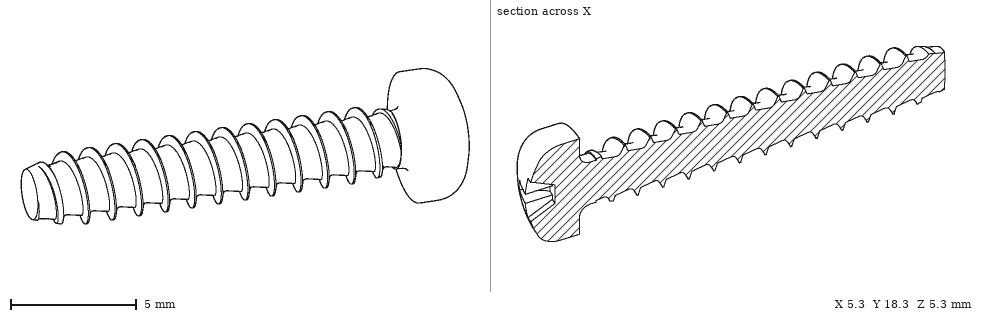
import cadquery as cq
import math


HEAD_RADIUS = 2.65
HEAD_RIM_HEIGHT = 0.83
HEAD_EDGE_FILLET = 0.05
SHOULDER_RADIUS = 2.1
SHOULDER_HEIGHT = 1.79
CROWN_HEIGHT = 2.29

WING_WIDTH = 0.5
WING_TOP_RADIUS = 1.15
WING_BOTTOM_RADIUS = 0.5
RECESS_DEPTH = 1.2

SHANK_LENGTH = 16.0
NECK_RADIUS = 1.17
NECK_FILLET = 0.5
THREAD_START = 0.71
TIP_RADIUS = 1.02
TIP_POINT_HEIGHT = 0.03

PITCH = 1.12
MAJOR_RADIUS = 1.5
FIRST_CREST = 0.57
RUN_IN_RADIUS = 1.23
RUN_IN_END = 1.95
RUN_OUT_START = 14.35
CREST_WIDTH = 0.05
ROOT_MAX_RADIUS = 1.14
ROOT_MIN_RADIUS = 1.03
TIP_FLANK_RUN = 0.14
HEAD_FLANK_RUN = 0.19
BLEND_RUN = 0.40
CUTTER_OVERSIZE = 0.02


def head_and_neck():
    """Head, under-head fillet and plain neck as one turned body."""
    crown_rise = CROWN_HEIGHT - SHOULDER_HEIGHT
    crown_radius = (SHOULDER_RADIUS**2 + crown_rise**2) / (2 * crown_rise)
    crown_mid_radius = SHOULDER_RADIUS / 2
    crown_mid_drop = crown_radius - math.sqrt(crown_radius**2 - crown_mid_radius**2)
    profile = (
        cq.Workplane("XZ")
        .moveTo(0, THREAD_START)
        .lineTo(NECK_RADIUS, THREAD_START)
        .lineTo(NECK_RADIUS, NECK_FILLET)
        .tangentArcPoint((NECK_RADIUS + NECK_FILLET, 0), relative=False)
        .lineTo(HEAD_RADIUS - HEAD_EDGE_FILLET, 0)
        .tangentArcPoint((HEAD_RADIUS, -HEAD_EDGE_FILLET), relative=False)
        .lineTo(HEAD_RADIUS, -HEAD_RIM_HEIGHT)
        .tangentArcPoint((SHOULDER_RADIUS, -SHOULDER_HEIGHT), relative=False)
        .threePointArc((crown_mid_radius, crown_mid_drop - CROWN_HEIGHT), (0, -CROWN_HEIGHT))
        .close()
    )
    return profile.revolve(360, (0, 0, 0), (0, 1, 0))


def cross_recess():
    """Two crossed wings that narrow towards the bottom of the recess."""
    bottom = RECESS_DEPTH - CROWN_HEIGHT
    wing = (
        cq.Workplane("XZ")
        .polyline([
            (-WING_TOP_RADIUS, -CROWN_HEIGHT),
            (WING_TOP_RADIUS, -CROWN_HEIGHT),
            (WING_BOTTOM_RADIUS, bottom),
            (-WING_BOTTOM_RADIUS, bottom),
        ])
        .close()
        .extrude(WING_WIDTH / 2, both=True)
    )
    return wing.union(wing.rotate((0, 0, 0), (0, 0, 1), 90))


def thread_envelope():
    """Envelope of the thread crests, from the run-in cone to the tip."""
    return (
        cq.Workplane("XZ")
        .polyline([
            (0, THREAD_START),
            (RUN_IN_RADIUS, THREAD_START),
            (MAJOR_RADIUS, RUN_IN_END),
            (MAJOR_RADIUS, RUN_OUT_START),
            (TIP_RADIUS, SHANK_LENGTH - TIP_POINT_HEIGHT),
            (0, SHANK_LENGTH),
        ])
        .close()
        .revolve(360, (0, 0, 0), (0, 1, 0))
    )


def thread_groove():
    """Helical groove between two neighbouring crests, swept along the threaded shank."""
    start = FIRST_CREST - PITCH
    turns = math.ceil((SHANK_LENGTH - start) / PITCH) + 1
    half_crest = CREST_WIDTH / 2
    outer_radius = MAJOR_RADIUS + CUTTER_OVERSIZE
    profile = (
        cq.Workplane("XZ")
        .moveTo(outer_radius, half_crest)
        .lineTo(ROOT_MAX_RADIUS, TIP_FLANK_RUN)
        .lineTo(ROOT_MIN_RADIUS, PITCH - BLEND_RUN)
        .tangentArcPoint((ROOT_MAX_RADIUS, PITCH - HEAD_FLANK_RUN), relative=False)
        .lineTo(outer_radius, PITCH - half_crest)
        .close()
    )
    helix = cq.Workplane(cq.Wire.makeHelix(PITCH, turns * PITCH, MAJOR_RADIUS))
    return profile.sweep(helix, isFrenet=True).translate((0, 0, start))


def threaded_shank():
    """Grooved bar trimmed to the crest envelope."""
    bar = (
        cq.Workplane("XY", origin=(0, 0, THREAD_START))
        .circle(MAJOR_RADIUS)
        .extrude(SHANK_LENGTH - THREAD_START)
    )
    return bar.cut(thread_groove()).intersect(thread_envelope())


head = head_and_neck().cut(cross_recess())
result = head.union(threaded_shank()).rotate((0, 0, 0), (1, 0, 0), 90)